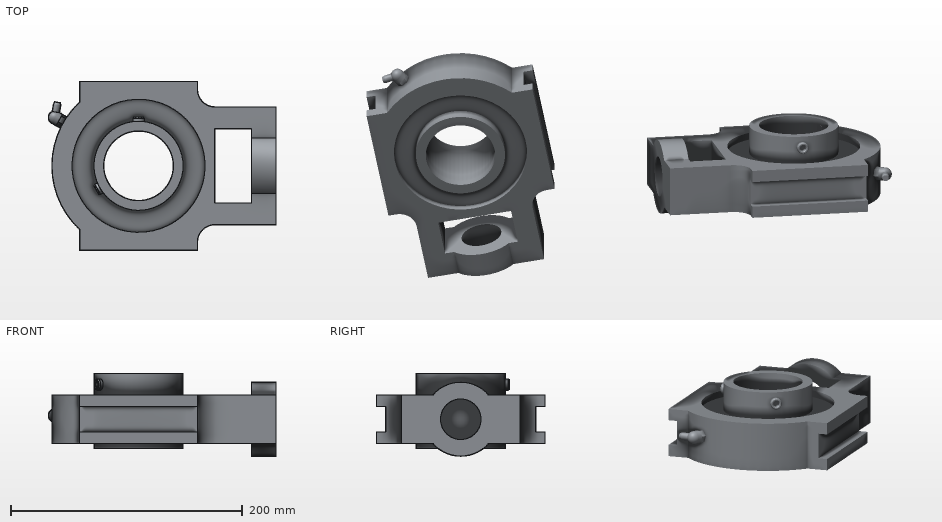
import cadquery as cq
import math

housing_height = 42.0
nose_radius = 75.0
rail_half_length = 51.0
overall_width = 146.0
arm_width = 102.0
arm_end_x = 119.0
inner_corner_radius = 15.0
groove_width = 22.0
groove_depth = 8.0
window_start_x = 66.0
window_end_x = 97.5
window_width = 64.0
boss_diameter = 64.0
boss_hole_diameter = 35.0

seat_diameter = 115.0
insert_height = 30.0
ring_diameter = 77.0
bore_diameter = 60.0
ring_top_z = 39.7
ring_length = 65.1

screw_diameter = 10.0
screw_end_diameter = 8.47
screw_chamfer_angle = 30.0
screw_inner_reach = 29.8
screw_outer_reach = 42.1
screw_z = 30.0
screw_angles = (90.0, 210.0)
socket_across_flats = 5.0
socket_turn = 30.0
socket_depth = 5.0
socket_mouth_diameter = 6.6

fitting_angle = 150.0
fitting_z = 3.2
elbow_diameter = 11.5
elbow_reach = 83.5
elbow_shank_length = 4.4
hex_across_flats = 10.0
hex_turn = 12.0
hex_root_reach = 70.0
nipple_angle = 80.0
nipple_diameter = 6.6
nipple_length = 11.1
nipple_tip_diameter = 5.2
nipple_tip_length = 2.3


def horizontal_plane(angle, reach, z, base_angle=None):
    """Plane whose normal is horizontal at `angle`, placed at polar `reach` from the bearing axis."""
    place = math.radians(angle if base_angle is None else base_angle)
    turn = math.radians(angle)
    return cq.Plane(
        origin=(reach * math.cos(place), reach * math.sin(place), z),
        xDir=(-math.sin(turn), math.cos(turn), 0),
        normal=(math.cos(turn), math.sin(turn), 0),
    )


def hexagon_diameter(across_flats):
    return across_flats / math.cos(math.pi / 6)


def make_frame():
    side_y = overall_width / 2
    arm_y = arm_width / 2
    rail_x = rail_half_length
    nose_y = math.sqrt(nose_radius**2 - rail_x**2)
    r = inner_corner_radius
    arc_offset = r * (1 - math.sqrt(0.5))
    outline = (
        cq.Workplane("XY", origin=(0, 0, -housing_height / 2))
        .moveTo(-rail_x, nose_y)
        .lineTo(-rail_x, side_y)
        .lineTo(rail_x, side_y)
        .lineTo(rail_x, arm_y + r)
        .threePointArc((rail_x + arc_offset, arm_y + arc_offset), (rail_x + r, arm_y))
        .lineTo(arm_end_x, arm_y)
        .lineTo(arm_end_x, -arm_y)
        .lineTo(rail_x + r, -arm_y)
        .threePointArc((rail_x + arc_offset, -arm_y - arc_offset), (rail_x, -arm_y - r))
        .lineTo(rail_x, -side_y)
        .lineTo(-rail_x, -side_y)
        .lineTo(-rail_x, -nose_y)
        .threePointArc((-nose_radius, 0), (-rail_x, nose_y))
        .close()
    )
    frame = outline.extrude(housing_height)
    groove_length = 2 * (rail_x + r)
    for side in (1, -1):
        groove = cq.Workplane("XY").box(groove_length, 2 * groove_depth, groove_width)
        frame = frame.cut(groove.translate((0, side * side_y, 0)))
    return frame


def add_screw_boss(frame):
    end_wall = arm_end_x - window_end_x
    boss_plane = cq.Workplane("YZ", origin=(window_end_x, 0, 0))
    boss = boss_plane.circle(boss_diameter / 2).extrude(end_wall)
    hole = boss_plane.circle(boss_hole_diameter / 2).extrude(end_wall)
    window_length = window_end_x - window_start_x
    window = cq.Workplane("XY").box(window_length, window_width, housing_height)
    window = window.translate((window_start_x + window_length / 2, 0, 0))
    return frame.union(boss).cut(hole).cut(window)


def make_grease_fitting():
    shank_start = elbow_reach - elbow_shank_length
    hexagon = (
        cq.Workplane(horizontal_plane(fitting_angle, hex_root_reach, fitting_z))
        .transformed(rotate=(0, 0, hex_turn))
        .polygon(6, hexagon_diameter(hex_across_flats))
        .extrude(shank_start - hex_root_reach)
    )
    shank = (
        cq.Workplane(horizontal_plane(fitting_angle, shank_start, fitting_z))
        .circle(elbow_diameter / 2)
        .extrude(elbow_shank_length)
    )
    elbow_plane = horizontal_plane(nipple_angle, elbow_reach, fitting_z, fitting_angle)
    ball = cq.Workplane(elbow_plane).sphere(elbow_diameter / 2)
    nipple = (
        cq.Workplane(elbow_plane)
        .circle(nipple_diameter / 2)
        .extrude(nipple_length)
        .faces(">Y")
        .workplane()
        .circle(nipple_diameter / 2)
        .workplane(offset=nipple_tip_length)
        .circle(nipple_tip_diameter / 2)
        .loft()
    )
    return hexagon.union(shank).union(ball).union(nipple)


def make_housing():
    housing = add_screw_boss(make_frame()).union(make_grease_fitting())
    seat = cq.Workplane("XY").circle(seat_diameter / 2).extrude(housing_height / 2, both=True)
    return housing.cut(seat)


def make_set_screw(angle):
    """Set screw with both ends chamfered, and the hexagon socket to be cut into its outer end."""
    chamfer_depth = (screw_diameter - screw_end_diameter) / 2
    chamfer_length = chamfer_depth / math.tan(math.radians(screw_chamfer_angle))
    screw = (
        cq.Workplane(horizontal_plane(angle, screw_inner_reach, screw_z))
        .circle(screw_diameter / 2)
        .extrude(screw_outer_reach - screw_inner_reach)
        .edges("%CIRCLE")
        .chamfer(chamfer_length, chamfer_depth)
    )
    hexagon = (
        cq.Workplane(horizontal_plane(angle, screw_outer_reach - socket_depth, screw_z))
        .transformed(rotate=(0, 0, socket_turn))
        .polygon(6, hexagon_diameter(socket_across_flats))
        .extrude(socket_depth)
    )
    mouth_depth = (socket_mouth_diameter - socket_across_flats) / 2
    mouth = (
        cq.Workplane(horizontal_plane(angle, screw_outer_reach - mouth_depth, screw_z))
        .circle(socket_across_flats / 2)
        .workplane(offset=mouth_depth)
        .circle(socket_mouth_diameter / 2)
        .loft()
    )
    return screw, hexagon.union(mouth)


def make_bearing():
    body = cq.Workplane("XY").circle(seat_diameter / 2).extrude(insert_height / 2, both=True)
    ring_plane = cq.Workplane("XY", origin=(0, 0, ring_top_z - ring_length))
    ring = ring_plane.circle(ring_diameter / 2).extrude(ring_length)
    bore = ring_plane.circle(bore_diameter / 2).extrude(ring_length)
    bearing = body.union(ring).cut(bore)
    for angle in screw_angles:
        screw, socket = make_set_screw(angle)
        bearing = bearing.union(screw).cut(socket)
    return bearing


housing = make_housing()
bearing = make_bearing()
result = cq.Compound.makeCompound([housing.val(), bearing.val()])